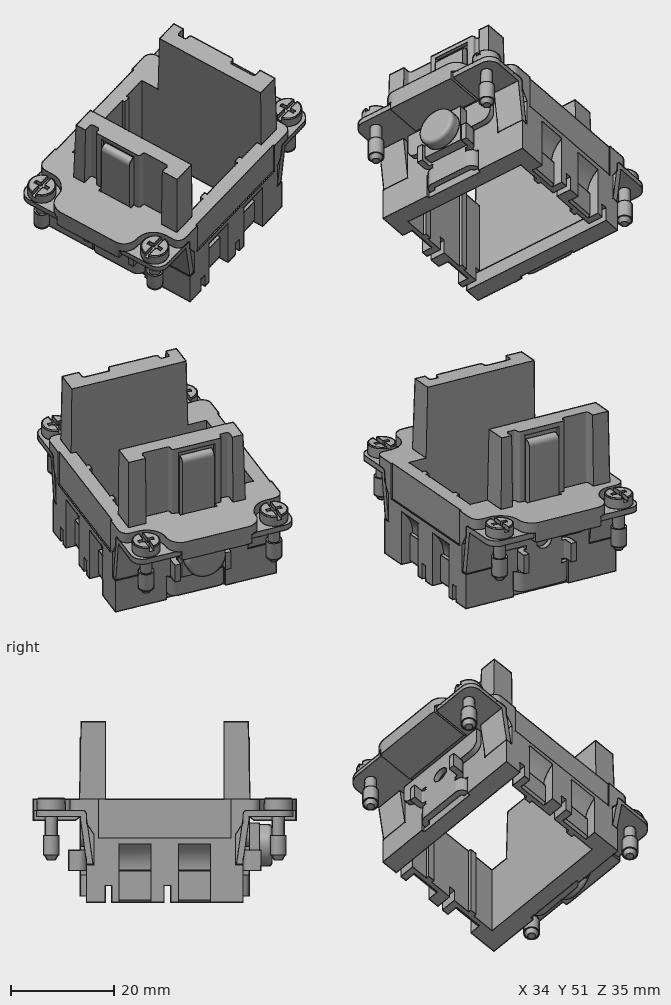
import cadquery as cq

half_x = 17.0
body_half_y = 15.2
flange_half_y = 25.5
flange_top = 20.0
overall_height = 35.0
sheet = 1.2
ear_top = 17.8
ear_bottom = ear_top - sheet
bracket_face_y = body_half_y + sheet
sides = (-1, 1)

tongue_half_flat = 6.5
tongue_corner_radius = 3.0
tongue_half_x = tongue_half_flat + tongue_corner_radius
shoulder_y = 18.4
shoulder_corner_radius = 1.8
screw_relief_radius = 4.0
skirt_half_x = 7.4
skirt_bottom = 15.9
skirt_chamfer_y = 0.9
skirt_chamfer_z = ear_bottom - skirt_bottom

opening_half_x = 13.75
opening_half_y = 11.45
rib_depth = 0.6
rib_width = 1.45
pocket_centre_y = 5.75
pocket_width = 6.25
pocket_top = 11.3
pocket_slope = 1.0
pocket_back_x = 14.45
ledge_z = 6.25
ledge_drop = 0.15
pocket_panel_x = 15.1
panel_chamfer = 0.5
slot_width = 1.25
slot_height = 3.25
slot_centres_y = (0.5, -10.9)
side_recess_depth = 0.3
side_recess_half_y = 12.8
side_recess_bottom = 12.5

wing_pocket_inner_x = 10.95
wing_pocket_floor_y = 13.75
wing_pocket_bottom = 7.25
wing_pocket_top = 15.4
wing_pocket_slope_end = 13.2

tower_base_x = (-9.85, 14.8)
tower_top_x = (-9.5, 14.65)
tower_base_y = 16.55
tower_top_y = 16.2
groove_floor_y = 14.3
groove_fillet = 0.5
groove_left_x = -7.25
groove_right_x = 11.1
pad_half_x = 5.25
pad_y = 15.6
latch_half_x = 3.35
latch_face_y = 16.4
latch_round = 1.2
latch_top = 32.8
window_half_x = 3.85
window_floor_y = 14.9
latch_setback = 0.1
window_front_y = latch_face_y + latch_setback
window_top = 34.0
window_bottom = 19.0

ear_half_x = 16.9
ear_end_y = 24.85
ear_corner_radius = 2.4
bend_radius = 0.7
wing_inner_x = 11.05
wing_bottom = 7.4
wing_tip_y = 13.9
web_half_x = 10.0
web_bottom = 10.85
web_corner_radius = 2.0
leg_half_x = 4.0
foot_half_x = 5.95
foot_recess_half_x = 6.25
foot_bottom = 1.2
foot_top = 5.3
foot_radius = 1.79
foot_depth = 1.8
foot_back_y = bracket_face_y - foot_depth
tab_half_x = 5.95
tab_bottom = 6.15
tab_top = 10.1
tab_end_y = 18.65
tab_bend_radius = 1.5

screw_x = 13.5
screw_y = 22.0
head_radius = 2.75
head_top = 20.2
head_chamfer = 0.2
head_edge_fillet = 0.25
shank_radius = 1.17
thread_radius = 1.53
thread_top = 13.0
thread_bottom = 9.15
tip_radius_start = 1.35
tip_radius_end = 0.75
tip_bottom = 8.2
slot_cross_width = 0.9
short_cross_width = 0.7
short_cross_length = 3.15
driver_depth = 0.95

earth_z = 11.05
earth_hole_radius = 1.67
clamp_half = 4.35
clamp_outer_y = 18.35
earth_head_radius = 4.05
earth_head_y = 20.8
earth_head_fillet = 0.8

margin = 0.01


def box(x, y, z):
    """Axis-aligned box from (low, high) pairs."""
    return cq.Workplane("XY").box(
        x[1] - x[0], y[1] - y[0], z[1] - z[0], centered=False
    ).translate((x[0], y[0], z[0]))


def extrude_along_x(profile_yz, x):
    """Extrude a closed YZ workplane profile between two X positions."""
    return profile_yz.extrude(x[1] - x[0]).translate((x[0], 0, 0))


def both_ends(solid):
    """The +Y feature together with its mirror image at -Y."""
    return solid.union(solid.mirror("XZ"))


def both_sides(solid):
    """The +X feature together with its mirror image at -X."""
    return solid.union(solid.mirror("YZ"))


def bracket_ears():
    ears = box((-ear_half_x, ear_half_x), (body_half_y, ear_end_y), (ear_bottom, ear_top))
    ears = ears.edges("|Z and >Y").fillet(ear_corner_radius)
    notch = box((-skirt_half_x, skirt_half_x), (bracket_face_y, ear_end_y), (ear_bottom, ear_top))
    return ears.cut(notch)


def bracket_wing():
    """Flap that slopes from the ear into the housing pocket."""
    profile = (
        cq.Workplane("YZ")
        .moveTo(body_half_y, ear_top)
        .lineTo(bracket_face_y, ear_top)
        .lineTo(bracket_face_y, ear_bottom)
        .lineTo(wing_tip_y + sheet, wing_bottom)
        .lineTo(wing_tip_y, wing_bottom)
        .lineTo(body_half_y, ear_bottom)
        .close()
    )
    return extrude_along_x(profile, (wing_inner_x, ear_half_x))


def bracket_tab():
    tab = box((0, tab_half_x), (body_half_y, tab_end_y), (tab_bottom, tab_top))
    hollow = box((0, tab_half_x - sheet), (bracket_face_y, tab_end_y), (tab_bottom, tab_top))
    tab = tab.edges("|Z and >X and <Y").fillet(tab_bend_radius)
    hollow = hollow.edges("|Z and >X and <Y").fillet(tab_bend_radius - sheet)
    return tab.cut(hollow)


def bracket_foot():
    """Channel whose rounded flanges curl back into the housing."""
    inner_half_x = foot_half_x - sheet
    foot = box((-foot_half_x, foot_half_x), (foot_back_y, bracket_face_y), (foot_bottom, foot_top))
    hollow = box((-inner_half_x, inner_half_x), (foot_back_y, body_half_y), (foot_bottom, foot_top))
    foot = foot.edges("|Z and >Y").fillet(foot_radius)
    hollow = hollow.edges("|Z and >Y").fillet(foot_radius - sheet)
    return foot.cut(hollow)


def make_bracket():
    web = box((-web_half_x, web_half_x), (body_half_y, bracket_face_y), (web_bottom, ear_top))
    web = web.edges("|Y and <Z").fillet(web_corner_radius)
    leg = box((-leg_half_x, leg_half_x), (body_half_y, bracket_face_y), (foot_bottom, web_bottom))
    bracket = bracket_ears().union(web).union(leg).union(bracket_foot())
    bracket = bracket.union(both_sides(bracket_wing())).union(both_sides(bracket_tab()))
    bend_edge = cq.selectors.BoxSelector(
        (-half_x, body_half_y - margin, ear_top - margin),
        (half_x, body_half_y + margin, ear_top + margin),
    )
    bracket = bracket.edges(bend_edge).fillet(bend_radius)
    for x in (-screw_x, screw_x):
        hole = cq.Workplane("XY").center(x, screw_y).circle(shank_radius).extrude(flange_top)
        bracket = bracket.cut(hole)
    earth_hole = (
        cq.Workplane("XZ").center(0, earth_z).circle(earth_hole_radius).extrude(-flange_half_y)
    )
    return bracket.cut(earth_hole)


def flange_quarter():
    """Quarter outline in +X +Y: rounded shoulder, hollow round the screw, rounded tongue."""
    relief_x = tongue_half_x + screw_relief_radius
    relief_y = shoulder_y + screw_relief_radius
    shoulder_x = half_x - shoulder_corner_radius
    return (
        cq.Workplane("XY")
        .moveTo(0, 0)
        .lineTo(half_x, 0)
        .lineTo(half_x, shoulder_y - shoulder_corner_radius)
        .radiusArc((shoulder_x, shoulder_y), -shoulder_corner_radius)
        .lineTo(relief_x, shoulder_y)
        .radiusArc((tongue_half_x, relief_y), screw_relief_radius)
        .lineTo(tongue_half_x, flange_half_y - tongue_corner_radius)
        .radiusArc((tongue_half_flat, flange_half_y), -tongue_corner_radius)
        .lineTo(0, flange_half_y)
        .close()
    )


def make_flange():
    plate = both_ends(both_sides(flange_quarter().extrude(flange_top - ear_top)))
    return plate.translate((0, 0, ear_top))


def make_skirts():
    """Deep rim under each tongue, between the bracket ears, chamfered towards the bracket."""
    drop = both_ends(both_sides(flange_quarter().extrude(flange_top - skirt_bottom)))
    profile = (
        cq.Workplane("YZ")
        .moveTo(bracket_face_y, ear_top)
        .lineTo(bracket_face_y, skirt_bottom + skirt_chamfer_z)
        .lineTo(bracket_face_y + skirt_chamfer_y, skirt_bottom)
        .lineTo(flange_half_y, skirt_bottom)
        .lineTo(flange_half_y, ear_top)
        .close()
    )
    strip = both_ends(extrude_along_x(profile, (-skirt_half_x, skirt_half_x)))
    return drop.translate((0, 0, skirt_bottom)).intersect(strip)


def make_window():
    """Recess round the latch, running down the pad and into the flange."""
    return box((-window_half_x, window_half_x), (window_floor_y, window_front_y), (window_bottom, window_top))


def make_latch():
    """Upright latch standing in the window, with a rounded top."""
    profile = (
        cq.Workplane("YZ")
        .moveTo(window_floor_y, window_bottom)
        .lineTo(latch_face_y, window_bottom)
        .lineTo(latch_face_y, latch_top - latch_round)
        .radiusArc((latch_face_y - latch_round, latch_top), -latch_round)
        .lineTo(window_floor_y, latch_top)
        .close()
    )
    return extrude_along_x(profile, (-latch_half_x, latch_half_x))


def make_tower():
    """Tapered +Y tower with two outer grooves and a raised pad between them."""
    height = overall_height - flange_top

    def section(x, y):
        return [(x[0], opening_half_y), (x[1], opening_half_y), (x[1], y), (x[0], y)]

    tower = (
        cq.Workplane("XY", origin=(0, 0, flange_top))
        .polyline(section(tower_base_x, tower_base_y)).close()
        .workplane(offset=height)
        .polyline(section(tower_top_x, tower_top_y)).close()
        .loft(ruled=True)
    )
    tower_z = (flange_top, overall_height)
    for x in ((groove_left_x, -pad_half_x), (pad_half_x, groove_right_x)):
        cutter = box(x, (groove_floor_y, tower_base_y), tower_z)
        tower = tower.cut(cutter.edges("|Z and <Y").fillet(groove_fillet))
    tower = tower.cut(box((-pad_half_x, pad_half_x), (pad_y, tower_base_y), tower_z))
    for x in sides:
        rim = cq.selectors.BoxSelector(
            (x * pad_half_x - margin, pad_y - margin, flange_top),
            (x * pad_half_x + margin, pad_y + margin, overall_height),
        )
        tower = tower.edges(rim).fillet(groove_fillet)
    return tower


def wing_pocket():
    profile = (
        cq.Workplane("YZ")
        .moveTo(body_half_y, wing_pocket_top)
        .lineTo(wing_pocket_floor_y, wing_pocket_slope_end)
        .lineTo(wing_pocket_floor_y, wing_pocket_bottom)
        .lineTo(body_half_y, wing_pocket_bottom)
        .close()
    )
    return extrude_along_x(profile, (wing_pocket_inner_x, half_x))


def side_pocket():
    """+X pocket: sloping ceiling, curved hollow, ledge and panel with a chamfered foot."""
    arc_top = pocket_top - pocket_slope
    arc_run = half_x - pocket_slope - pocket_back_x
    arc_rise = arc_top - ledge_z
    arc_radius = (arc_run ** 2 + arc_rise ** 2) / (2 * arc_run)
    profile = (
        cq.Workplane("XZ")
        .moveTo(half_x, pocket_top)
        .lineTo(half_x - pocket_slope, arc_top)
        .radiusArc((pocket_back_x, ledge_z), -arc_radius)
        .lineTo(pocket_panel_x, ledge_z - ledge_drop)
        .lineTo(pocket_panel_x, panel_chamfer)
        .lineTo(pocket_panel_x - panel_chamfer, 0)
        .lineTo(half_x, 0)
        .close()
    )
    pocket = profile.extrude(pocket_width / 2, both=True)
    return pocket.translate((0, pocket_centre_y, 0))


def bend_fillet():
    """Fillet between the end wall and the flange that fits the bracket bend."""
    corner = box(
        (-half_x, half_x),
        (body_half_y, body_half_y + bend_radius),
        (ear_top - bend_radius, ear_top),
    )
    bend = cq.Workplane("YZ").center(body_half_y + bend_radius, ear_top - bend_radius).circle(bend_radius)
    return corner.cut(extrude_along_x(bend, (-half_x, half_x)))


def make_housing(bracket):
    body = box((-half_x, half_x), (-body_half_y, body_half_y), (0, ear_top))
    housing = body.union(make_flange()).union(make_skirts())
    housing = housing.union(both_ends(make_tower())).union(both_ends(bend_fillet()))

    opening = box(
        (-opening_half_x, opening_half_x), (-opening_half_y, opening_half_y), (0, flange_top)
    )
    rib = box(
        (opening_half_x - rib_depth, opening_half_x),
        (pocket_centre_y - rib_width / 2, pocket_centre_y + rib_width / 2),
        (0, flange_top),
    )
    housing = housing.cut(opening.cut(both_ends(both_sides(rib))))
    housing = housing.cut(both_ends(both_sides(side_pocket())))
    for y in slot_centres_y:
        slot = box((-half_x, half_x), (y - slot_width / 2, y + slot_width / 2), (0, slot_height))
        housing = housing.cut(slot)

    side_recess = box(
        (half_x - side_recess_depth, half_x),
        (-side_recess_half_y, side_recess_half_y),
        (side_recess_bottom, flange_top),
    )
    housing = housing.cut(both_sides(side_recess))
    foot_recess = box(
        (-foot_recess_half_x, foot_recess_half_x), (foot_back_y, body_half_y), (0, foot_top)
    )
    housing = housing.cut(both_ends(both_sides(wing_pocket()))).cut(both_ends(foot_recess))

    for part in (make_window(), bracket):
        housing = housing.cut(both_ends(part))
    return housing.union(both_ends(make_latch()))


def make_screw():
    """Cheese-head captive screw on the Z axis."""
    head = cq.Workplane("XY", origin=(0, 0, ear_top)).circle(head_radius).extrude(head_top - ear_top)
    head = head.faces(">Z").chamfer(head_chamfer).faces("<Z").edges().fillet(head_edge_fillet)
    driver_z = (head_top - driver_depth, head_top)
    long_half = slot_cross_width / 2
    short_half = short_cross_width / 2
    head = head.cut(box((-long_half, long_half), (-head_radius, head_radius), driver_z))
    short_reach = short_cross_length / 2
    head = head.cut(box((-short_reach, short_reach), (-short_half, short_half), driver_z))
    stem = (
        cq.Workplane("XZ")
        .polyline([
            (0, ear_top),
            (shank_radius, ear_top),
            (shank_radius, thread_top),
            (thread_radius, thread_top),
            (thread_radius, thread_bottom),
            (tip_radius_start, thread_bottom),
            (tip_radius_end, tip_bottom),
            (0, tip_bottom),
        ])
        .close()
        .revolve(360, (0, 0, 0), (0, 1, 0))
    )
    return head.union(stem)


def cylinder_along_y(radius, y):
    return cq.Workplane("XZ", origin=(0, y[0], earth_z)).circle(radius).extrude(y[0] - y[1])


def make_clamp_plate():
    plate = box(
        (-clamp_half, clamp_half),
        (bracket_face_y, clamp_outer_y),
        (earth_z - clamp_half, earth_z + clamp_half),
    )
    return plate.cut(cylinder_along_y(earth_hole_radius, (bracket_face_y, clamp_outer_y)))


def make_earth_screw():
    head = cylinder_along_y(earth_head_radius, (clamp_outer_y, earth_head_y))
    head = head.faces(">Y").edges().fillet(earth_head_fillet)
    return head.union(cylinder_along_y(earth_hole_radius, (body_half_y, clamp_outer_y)))


bracket = make_bracket()
housing = make_housing(bracket)
brackets = [bracket, bracket.mirror("XZ")]
screw = make_screw()
screws = [screw.translate((x * screw_x, y * screw_y, 0)) for x in sides for y in sides]
clamp_plate = make_clamp_plate()
earth_screw = make_earth_screw()

bodies = [housing, *brackets, *screws, clamp_plate, earth_screw]
result = cq.Compound.makeCompound([body.val() for body in bodies])